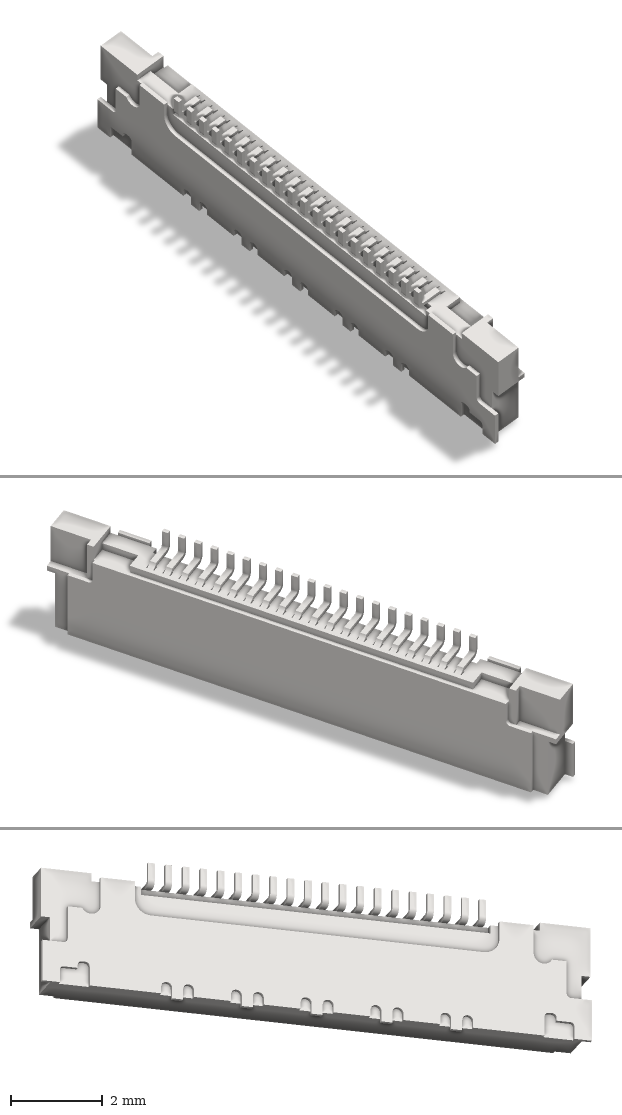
import cadquery as cq

LENGTH = 12.6
THICKNESS = 1.0
HALF_LENGTH = LENGTH / 2
FRONT_Y = -THICKNESS / 2
BACK_Y = THICKNESS / 2
SHEET = 0.1
BODY_FRONT_Y = FRONT_Y + SHEET
BODY_BACK_Y = BACK_Y - SHEET
TOP_Z = 1.55
TAB_BOTTOM_Z = -TOP_Z
BOTTOM_Z = -1.46

BODY_TOP_Z = 1.01
BLOCK_TOP_Z = 1.2
BLOCK_BOTTOM_Z = 0.06
BLOCK_INNER_X = 5.14
WAIST_HALF = 6.1
BACK_NOTCH_INNER_X = 5.3
BACK_NOTCH_Y = 0.21
BACK_NOTCH_Z = 0.2
REAR_STEP_INNER_X = 4.25
REAR_STEP_Z = 0.82
FRONT_RECESS_HALF = 4.01
FRONT_RECESS_Y = -0.23
FRONT_RECESS_Z = 0.82

PLATE_TOP_Z = 1.08
SHOULDER_X = 4.96
SHOULDER_Z = 0.33
RELIEF_RADIUS = 0.23
RELIEF_CENTER_Z = 0.44
NECK_HALF = 5.72
NECK_BOTTOM_Z = -0.52
NECK_CORNER_RADIUS = 0.1
WINDOW_HALF = 4.18
WINDOW_BOTTOM_Z = SHOULDER_Z
WINDOW_RADIUS = 0.37
CORNER_CUT_OUTER_X = 5.9
CORNER_CUT_INNER_X = 5.22
CORNER_CUT_TOP_Z = -1.08
CORNER_CUT_RADIUS = 0.08
CORNER_BUMP_WIDTH = 0.28
CORNER_BUMP_TOP_Z = -0.92
CORNER_BUMP_RADIUS = 0.1

TAB_COUNT = 5
TAB_PITCH = 1.6
TAB_WIDTH = 0.25
TAB_SLOT_WIDTH = 0.25
TAB_SLOT_TOP_Z = -1.18

BACK_PLATE_HALF = 5.73
BACK_PLATE_SHOULDER_Z = 0.23
BACK_PLATE_TOP_HALF = 5.12
BACK_PLATE_RADIUS = 0.1
BACK_PLATE_TOP_Z = REAR_STEP_Z

CONTACT_COUNT = 20
CONTACT_PITCH = TAB_PITCH / 4
CONTACT_WIDTH = 0.15
BEND_INNER_RADIUS = 0.05
BEND_OUTER_RADIUS = BEND_INNER_RADIUS + SHEET
NOSE_START_Y = 0.15
POCKET_BACK_Y = 0.29
POCKET_WIDTH = 0.2
POCKET_FLOOR_Z = 0.69

OVERLAP = 0.13


def box(x_range, y_range, z_range):
    """Box spanning the given (low, high) ranges."""
    low = [min(r) for r in (x_range, y_range, z_range)]
    size = [abs(r[1] - r[0]) for r in (x_range, y_range, z_range)]
    return cq.Workplane("XY").box(*size, centered=False).translate(tuple(low))


def both_ends(shape):
    """The shape at the +X end together with its mirror image at the -X end."""
    return shape.union(shape.mirror("YZ"))


def centered_row(count, pitch):
    """X places of evenly spaced items, symmetric about the middle."""
    return [(i - (count - 1) / 2) * pitch for i in range(count)]


def front_sheet(outline):
    """Raise a closed outline in the XZ plane from the body front to the front face."""
    return outline.extrude(SHEET).translate((0, BODY_FRONT_Y, 0))


def make_body():
    """Bar with a raised block at each end, recessed along its front and back top edges."""
    depth = (BODY_FRONT_Y, BODY_BACK_Y)
    body = box((-WAIST_HALF, WAIST_HALF), depth, (BOTTOM_Z, BODY_TOP_Z))
    block = box((BLOCK_INNER_X, HALF_LENGTH), depth, (BLOCK_BOTTOM_Z, BLOCK_TOP_Z))
    back_notch = box(
        (BACK_NOTCH_INNER_X, HALF_LENGTH + OVERLAP),
        (BACK_NOTCH_Y, BACK_Y),
        (BACK_NOTCH_Z, TOP_Z),
    )
    rear_step = box(
        (REAR_STEP_INNER_X, BLOCK_INNER_X),
        (0, BACK_Y),
        (REAR_STEP_Z, TOP_Z),
    )
    front_recess = box(
        (-FRONT_RECESS_HALF, FRONT_RECESS_HALF),
        (FRONT_Y, FRONT_RECESS_Y),
        (FRONT_RECESS_Z, TOP_Z),
    )
    body = body.union(both_ends(block)).cut(front_recess)
    return body.cut(both_ends(back_notch)).cut(both_ends(rear_step))


def end_relief():
    """Cut-away at the +X upper corner, with a round relief at the foot of the shoulder."""
    relief_x = SHOULDER_X + RELIEF_RADIUS
    relief = cq.Workplane("XZ").center(relief_x, RELIEF_CENTER_Z).circle(RELIEF_RADIUS)
    shoulder = cq.Workplane("XZ").moveTo(SHOULDER_X, TOP_Z)
    shoulder = shoulder.lineTo(SHOULDER_X, RELIEF_CENTER_Z).lineTo(relief_x, RELIEF_CENTER_Z)
    shoulder = shoulder.lineTo(relief_x, SHOULDER_Z).lineTo(NECK_HALF, SHOULDER_Z)
    shoulder = shoulder.lineTo(NECK_HALF, NECK_BOTTOM_Z + NECK_CORNER_RADIUS)
    shoulder = shoulder.radiusArc(
        (NECK_HALF + NECK_CORNER_RADIUS, NECK_BOTTOM_Z), -NECK_CORNER_RADIUS
    )
    shoulder = shoulder.lineTo(HALF_LENGTH + OVERLAP, NECK_BOTTOM_Z)
    shoulder = shoulder.lineTo(HALF_LENGTH + OVERLAP, TOP_Z).close()
    return front_sheet(shoulder).union(front_sheet(relief))


def corner_cut():
    """Stepped opening in the plate at the +X lower corner."""
    cut = box(
        (CORNER_CUT_INNER_X, CORNER_CUT_OUTER_X),
        (FRONT_Y, BODY_FRONT_Y),
        (BOTTOM_Z, CORNER_CUT_TOP_Z),
    )
    cut = cut.edges("|Y and >X and >Z").fillet(CORNER_CUT_RADIUS)
    bump = box(
        (CORNER_CUT_INNER_X, CORNER_CUT_INNER_X + CORNER_BUMP_WIDTH),
        (FRONT_Y, BODY_FRONT_Y),
        (BOTTOM_Z, CORNER_BUMP_TOP_Z),
    )
    return cut.union(bump.edges("|Y and >Z").fillet(CORNER_BUMP_RADIUS))


def tab_slot(x):
    """Round-topped slot centred on x, open at the bottom edge of the plate."""
    radius = TAB_SLOT_WIDTH / 2
    slot = cq.Workplane("XZ").moveTo(x - radius, BOTTOM_Z).lineTo(x - radius, TAB_SLOT_TOP_Z - radius)
    slot = slot.threePointArc((x, TAB_SLOT_TOP_Z), (x + radius, TAB_SLOT_TOP_Z - radius))
    return front_sheet(slot.lineTo(x + radius, BOTTOM_Z).close())


def make_front_plate():
    """Plate on the front face, with a window in front of the contacts, end cut-aways and bottom tabs."""
    depth = (FRONT_Y, BODY_FRONT_Y)
    plate = box((-HALF_LENGTH, HALF_LENGTH), depth, (BOTTOM_Z, PLATE_TOP_Z))
    window = box((-WINDOW_HALF, WINDOW_HALF), depth, (WINDOW_BOTTOM_Z, TOP_Z))
    window = window.edges("|Y and <Z").fillet(WINDOW_RADIUS)
    plate = plate.cut(window).cut(both_ends(end_relief())).cut(both_ends(corner_cut()))
    slot_offset = (TAB_WIDTH + TAB_SLOT_WIDTH) / 2
    for x in centered_row(TAB_COUNT, TAB_PITCH):
        plate = plate.cut(tab_slot(x - slot_offset)).cut(tab_slot(x + slot_offset))
        tab = box((x - TAB_WIDTH / 2, x + TAB_WIDTH / 2), depth, (TAB_BOTTOM_Z, BOTTOM_Z))
        plate = plate.union(tab)
    return plate


def make_back_plate():
    """Plate on the back face, with a raised middle and rounded inner corners at its shoulders."""
    depth = (BODY_BACK_Y, BACK_Y)
    lower = box((-BACK_PLATE_HALF, BACK_PLATE_HALF), depth, (BOTTOM_Z, BACK_PLATE_SHOULDER_Z))
    upper = box((-BACK_PLATE_TOP_HALF, BACK_PLATE_TOP_HALF), depth, (BOTTOM_Z, BACK_PLATE_TOP_Z))
    plate = lower.union(upper)
    for x in (-BACK_PLATE_TOP_HALF, BACK_PLATE_TOP_HALF):
        inner_corner = cq.selectors.NearestToPointSelector((x, BACK_Y - SHEET / 2, BACK_PLATE_SHOULDER_Z))
        plate = plate.edges(inner_corner).fillet(BACK_PLATE_RADIUS)
    return plate


def contact_pocket(x):
    """Pocket in the body top that takes the contact nose."""
    return box(
        (x - POCKET_WIDTH / 2, x + POCKET_WIDTH / 2),
        (NOSE_START_Y, POCKET_BACK_Y),
        (POCKET_FLOOR_Z, TOP_Z),
    )


def contact(x):
    """Upright tail bent into a beam on the body top, ending in a nose that fills the pocket."""
    beam_top_z = BODY_TOP_Z + SHEET
    nose_length = POCKET_BACK_Y - NOSE_START_Y
    nose_radius = (nose_length**2 + SHEET**2) / (2 * SHEET)
    profile = cq.Workplane("YZ").moveTo(FRONT_Y, TOP_Z)
    profile = profile.lineTo(FRONT_Y, BODY_TOP_Z + BEND_OUTER_RADIUS)
    profile = profile.radiusArc((FRONT_Y + BEND_OUTER_RADIUS, BODY_TOP_Z), -BEND_OUTER_RADIUS)
    profile = profile.lineTo(NOSE_START_Y, BODY_TOP_Z).lineTo(NOSE_START_Y, POCKET_FLOOR_Z)
    profile = profile.lineTo(POCKET_BACK_Y, POCKET_FLOOR_Z)
    profile = profile.lineTo(POCKET_BACK_Y, BODY_TOP_Z)
    profile = profile.radiusArc((NOSE_START_Y, beam_top_z), nose_radius)
    profile = profile.lineTo(BODY_FRONT_Y + BEND_INNER_RADIUS, beam_top_z)
    profile = profile.radiusArc((BODY_FRONT_Y, beam_top_z + BEND_INNER_RADIUS), BEND_INNER_RADIUS)
    profile = profile.lineTo(BODY_FRONT_Y, TOP_Z).close()
    return profile.extrude(CONTACT_WIDTH).translate((x - CONTACT_WIDTH / 2, 0, 0))


result = make_body().union(make_front_plate()).union(make_back_plate())
for contact_x in centered_row(CONTACT_COUNT, CONTACT_PITCH):
    result = result.cut(contact_pocket(contact_x)).union(contact(contact_x))